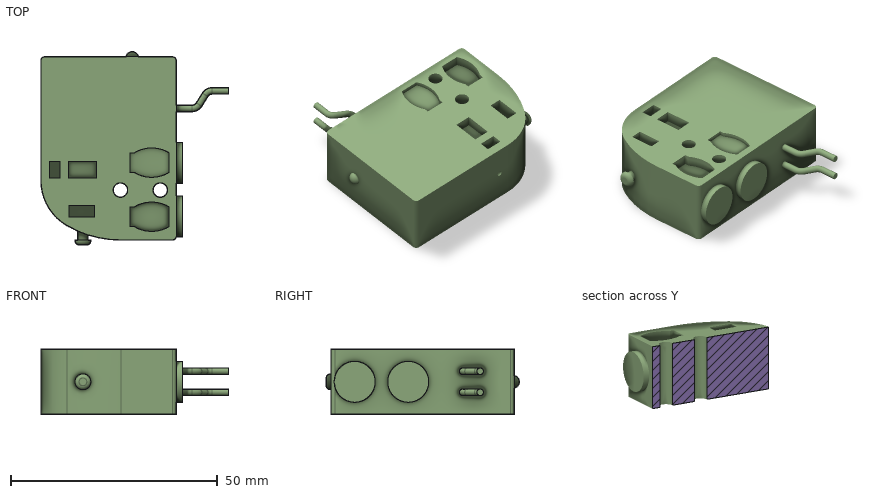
import cadquery as cq
import math

width = 32.75
length = 44.35
height = 15.75
mid_height = height / 2
corner_radius = 1.0

side_arc_radius = 12.6
side_arc_start_y = 14.45
front_arc_end_x = 19.4

side_hole_y = 17.15
side_hole_diameter = 1.3
side_hole_depth = 1.85

through_hole_diameter = 3.4
through_hole_y = 12.1
through_hole_xs = (19.25, 28.9)

rectangular_pockets = (
    (2.1, 15.05, 2.52, 4.0, 5.6),
    (6.7, 15.05, 6.82, 4.0, 2.7),
    (6.85, 5.55, 6.1, 2.85, 5.6),
)

barrel_pockets = ((18.75, 1.08), (5.65, 2.6))
barrel_left_x = 21.6
barrel_arc_start_x = 22.6
barrel_right_x = 31.0
barrel_end_half_width = 2.4
barrel_middle_half_width = 3.55

disc_diameter = 9.9
disc_thickness = 1.55
disc_ys = (18.7, 5.75)

pin_diameter = 1.6
pin_spacing = 5.1
pin_y = 31.85
pin_bend_start_x = 36.55
pin_tip_x = 45.45
pin_offset = 4.25
pin_bend_radius = 2.0
pin_bend_angle = math.radians(58)

dome_x = 22.1
dome_radius = 1.55
dome_projection = 1.2

plunger_x = 10.2
stem_diameter = 2.52
stem_length = 5.6
head_diameter = 3.85
head_face_diameter = 1.85
head_height = 1.15
head_bulge = 0.25


def make_housing():
    """Block with one large compound corner and three small rounded corners."""
    dx = front_arc_end_x - side_arc_radius
    front_arc_radius = (dx**2 + side_arc_start_y**2 - side_arc_radius**2) / (
        2 * (side_arc_start_y - side_arc_radius)
    )
    dy = front_arc_radius - side_arc_start_y
    join_angle = math.atan2(dy, dx)

    def side_arc_point(angle):
        return (
            side_arc_radius - side_arc_radius * math.cos(angle),
            side_arc_start_y - side_arc_radius * math.sin(angle),
        )

    def front_arc_point(angle):
        return (
            front_arc_end_x - front_arc_radius * math.cos(angle),
            front_arc_radius - front_arc_radius * math.sin(angle),
        )

    block = (
        cq.Workplane("XY")
        .moveTo(0, length)
        .lineTo(0, side_arc_start_y)
        .threePointArc(side_arc_point(join_angle / 2), side_arc_point(join_angle))
        .threePointArc(
            front_arc_point((join_angle + math.pi / 2) / 2), (front_arc_end_x, 0)
        )
        .lineTo(width, 0)
        .lineTo(width, length)
        .close()
        .extrude(height)
    )
    right_corners = block.edges("|Z and >X")
    back_left_corner = block.edges("|Z and >Y and <X")
    return block.newObject(right_corners.vals() + back_left_corner.vals()).fillet(corner_radius)


def make_rectangular_pocket(x_min, y_min, x_size, y_size, depth):
    return cq.Workplane("XY").box(x_size, y_size, depth, centered=False).translate(
        (x_min, y_min, height - depth)
    )


def make_barrel_pocket(center_y, depth):
    """Pocket with flat ends, bulging sides and a short straight neck on the left."""
    middle_x = (barrel_arc_start_x + barrel_right_x) / 2
    return (
        cq.Workplane("XY", origin=(0, center_y, height - depth))
        .moveTo(barrel_left_x, -barrel_end_half_width)
        .lineTo(barrel_arc_start_x, -barrel_end_half_width)
        .threePointArc(
            (middle_x, -barrel_middle_half_width), (barrel_right_x, -barrel_end_half_width)
        )
        .lineTo(barrel_right_x, barrel_end_half_width)
        .threePointArc(
            (middle_x, barrel_middle_half_width), (barrel_arc_start_x, barrel_end_half_width)
        )
        .lineTo(barrel_left_x, barrel_end_half_width)
        .close()
        .extrude(depth)
    )


def make_side_hole():
    return (
        cq.Workplane("YZ")
        .center(side_hole_y, mid_height)
        .circle(side_hole_diameter / 2)
        .extrude(side_hole_depth)
    )


def make_through_hole(x):
    return (
        cq.Workplane("XY")
        .center(x, through_hole_y)
        .circle(through_hole_diameter / 2)
        .extrude(height)
    )


def make_disc(y):
    return (
        cq.Workplane("YZ", origin=(width, y, mid_height))
        .circle(disc_diameter / 2)
        .extrude(disc_thickness)
    )


def make_pin(z):
    """Round pin that runs outward, cranks sideways and runs outward again."""
    bend_run = pin_bend_radius * math.sin(pin_bend_angle)
    bend_rise = pin_bend_radius * (1 - math.cos(pin_bend_angle))
    half_run = pin_bend_radius * math.sin(pin_bend_angle / 2)
    half_rise = pin_bend_radius * (1 - math.cos(pin_bend_angle / 2))
    slope_rise = pin_offset - 2 * bend_rise
    slope_run = slope_rise / math.tan(pin_bend_angle)
    bend_end_x = pin_bend_start_x + 2 * bend_run + slope_run
    tip_y = pin_y + pin_offset
    path = (
        cq.Workplane("XY", origin=(0, 0, z))
        .moveTo(width, pin_y)
        .lineTo(pin_bend_start_x, pin_y)
        .threePointArc(
            (pin_bend_start_x + half_run, pin_y + half_rise),
            (pin_bend_start_x + bend_run, pin_y + bend_rise),
        )
        .lineTo(bend_end_x - bend_run, tip_y - bend_rise)
        .threePointArc((bend_end_x - half_run, tip_y - half_rise), (bend_end_x, tip_y))
        .lineTo(pin_tip_x, tip_y)
    )
    return (
        cq.Workplane("YZ", origin=(width, pin_y, z)).circle(pin_diameter / 2).sweep(path)
    )


def make_dome():
    center_y = length + dome_projection - dome_radius
    return cq.Workplane("XY").sphere(dome_radius).translate((dome_x, center_y, mid_height))


def make_plunger():
    """Round stem buried in the housing with a domed, flat-tipped head."""
    head_radius = head_diameter / 2
    face_radius = head_face_diameter / 2
    bulge_point = ((head_radius + face_radius) / 2 + head_bulge, -head_height / 2 - head_bulge)
    return (
        cq.Workplane("XY", origin=(plunger_x, 0, mid_height))
        .moveTo(0, stem_length)
        .lineTo(stem_diameter / 2, stem_length)
        .lineTo(stem_diameter / 2, 0)
        .lineTo(head_radius, 0)
        .threePointArc(bulge_point, (face_radius, -head_height))
        .lineTo(0, -head_height)
        .close()
        .revolve(360, (0, 0, 0), (0, 1, 0))
    )


result = make_housing()

result = result.union(make_plunger()).union(make_dome())

for disc_y in disc_ys:
    result = result.union(make_disc(disc_y))

for side in (-1, 1):
    result = result.union(make_pin(mid_height + side * pin_spacing / 2))

result = result.cut(make_side_hole())

for hole_x in through_hole_xs:
    result = result.cut(make_through_hole(hole_x))

for pocket in rectangular_pockets:
    result = result.cut(make_rectangular_pocket(*pocket))

for pocket_y, pocket_depth in barrel_pockets:
    result = result.cut(make_barrel_pocket(pocket_y, pocket_depth))